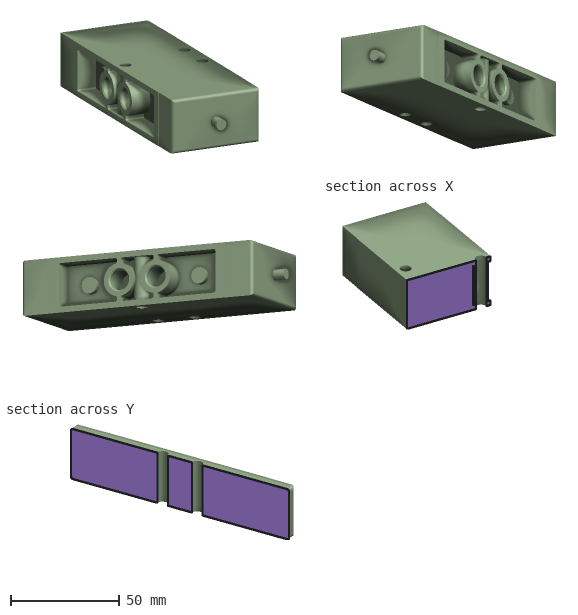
import cadquery as cq

TOTAL_LENGTH = 132.0
BODY_LENGTH = 120.0
DEPTH = 45.0
HEIGHT = 26.0
END_FILLET = 1.5
FRONT = -DEPTH / 2

MIDDLE_LENGTH = 91.3
CAP_RECESS = 0.1

PIN_DIAMETER = 5.0

RECESS_LENGTH = 81.5
RECESS_HEIGHT = 20.5
RECESS_DEPTH = 9.5
RECESS_CORNER = 0.9

PORT_SPACING = 19.0
PORT_X = PORT_SPACING / 2
PORT_BOSS_DIAMETER = 15.6
PORT_WEB = 2.0
PORT_DIAMETER = 9.6
PORT_FLOOR_DIAMETER = 9.1
PORT_MOUTH_DIAMETER = 10.8
PORT_DEPTH = 12.0

PAD_X = 28.5
PAD_DIAMETER = 7.8
PAD_HEIGHT = 2.6

HOLE_DIAMETER = 5.5
HOLE_Y = 17.4
COLUMN_DIAMETER = 7.5


def front_cylinder(x, diameter, front_depth, length):
    """Cylinder along Y, starting front_depth behind the front face."""
    return (
        cq.Workplane("XZ", origin=(x, FRONT + front_depth, 0))
        .circle(diameter / 2)
        .extrude(-length)
    )


def vertical_cylinders(points, diameter):
    """Cylinders along Z through the full height of the block."""
    return cq.Workplane().pushPoints(points).circle(diameter / 2).extrude(HEIGHT / 2, both=True)


def make_block():
    """End caps with rounded end faces, and the slightly deeper middle section."""
    caps = cq.Workplane().box(BODY_LENGTH, DEPTH - 2 * CAP_RECESS, HEIGHT)
    caps = caps.faces("<X or >X").edges().fillet(END_FILLET)
    middle = cq.Workplane().box(MIDDLE_LENGTH, DEPTH, HEIGHT)
    return caps.union(middle)


def make_recess():
    """Space removed behind the front face: a box less the bosses, webs, pads and column."""
    space = (
        cq.Workplane("XZ", origin=(0, FRONT, 0))
        .rect(RECESS_LENGTH, RECESS_HEIGHT)
        .extrude(-RECESS_DEPTH)
    )
    for x in (-PORT_X, PORT_X):
        web = (
            cq.Workplane("XZ", origin=(x, FRONT, 0))
            .rect(PORT_WEB, RECESS_HEIGHT)
            .extrude(-RECESS_DEPTH)
        )
        space = space.cut(front_cylinder(x, PORT_BOSS_DIAMETER, 0, RECESS_DEPTH))
        space = space.cut(web)
    space = space.edges("|Y").fillet(RECESS_CORNER)

    for x in (-PAD_X, PAD_X):
        space = space.cut(front_cylinder(x, PAD_DIAMETER, RECESS_DEPTH - PAD_HEIGHT, PAD_HEIGHT))
    return space.cut(vertical_cylinders([(0, -HOLE_Y)], COLUMN_DIAMETER))


def make_port(x):
    """Blind bore, slightly tapered, with a 45 degree lead-in; profile revolved about the port axis."""
    mouth_radius = PORT_MOUTH_DIAMETER / 2
    bore_radius = PORT_DIAMETER / 2
    lead_in = mouth_radius - bore_radius
    profile = [
        (0, 0),
        (mouth_radius, 0),
        (bore_radius, lead_in),
        (PORT_FLOOR_DIAMETER / 2, PORT_DEPTH),
        (0, PORT_DEPTH),
    ]
    port = cq.Workplane("XY").polyline(profile).close().revolve(360, (0, 0, 0), (0, 1, 0))
    return port.translate((x, FRONT, 0))


pin_rod = cq.Workplane("YZ").circle(PIN_DIAMETER / 2).extrude(TOTAL_LENGTH / 2, both=True)
mounting_holes = vertical_cylinders(
    [(-PORT_X, HOLE_Y), (PORT_X, HOLE_Y), (0, -HOLE_Y)],
    HOLE_DIAMETER,
)

result = make_block().union(pin_rod).cut(make_recess()).cut(mounting_holes)
for port_x in (-PORT_X, PORT_X):
    result = result.cut(make_port(port_x))